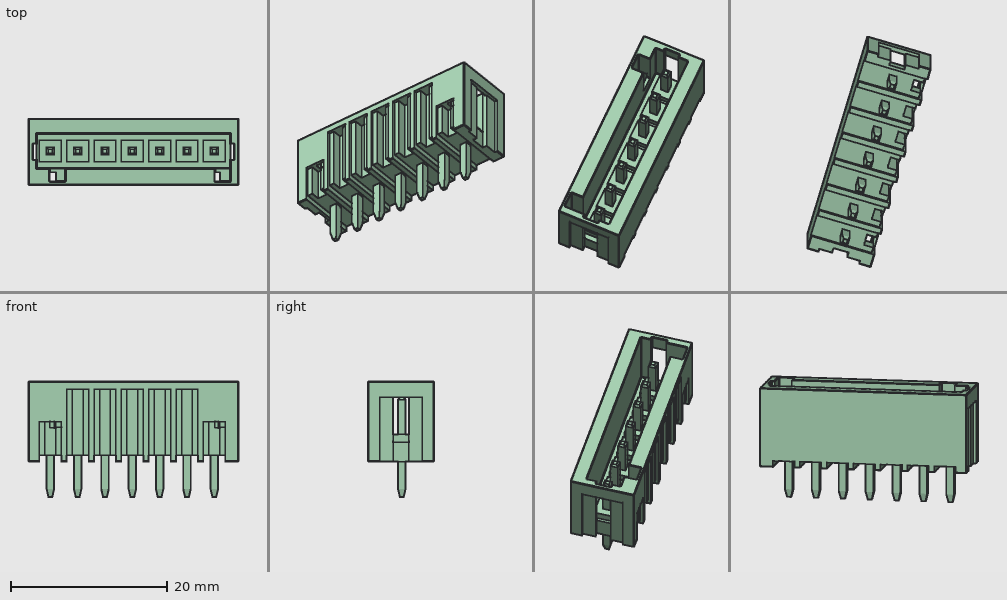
import cadquery as cq

LENGTH = 26.9
WIDTH = 8.5
HEIGHT = 10.25
OVERALL_HEIGHT = 14.8
EDGE = 0.1
FRONT = -WIDTH / 2
OVERCUT = 0.27

PIN_COUNT = 7
PITCH = 3.5
ROW_X = -0.15
ROW_Y = 0.1
PIN_SIDE = 1.0
PIN_TOP = 8.2
PIN_BOTTOM = HEIGHT - OVERALL_HEIGHT
TIP_SIDE = 0.5
TOP_TIP_HEIGHT = 0.27
BOTTOM_TIP_HEIGHT = 1.05

CAVITY_LENGTH = 24.85
CAVITY_WIDTH = 4.5
CAVITY_FLOOR = 2.5
PAD_SIDE = 2.8
PAD_TOP = 3.47

KEY_WIDTH = 2.02
KEY_FLOOR = 4.3
KEY_FRONT_WALL = 0.45
KEY_RIGHT_EDGES = (-8.72, CAVITY_LENGTH / 2)

SLOT_TOP = 9.23
END_SLOT_TOP = 5.1
SLOT_DEPTH = 0.38
CORE_WIDTH = 1.4
CORE_DEPTH = 1.61
CHANNEL_HEIGHT = 0.8

RECESS_WIDTH = 5.43
RECESS_DEPTH = 0.4
RECESS_TOP = 8.23
WINDOW_WIDTH = 2.02
NOTCH_WALL = 0.6

PIN_XS = [ROW_X + PITCH * (i - (PIN_COUNT - 1) / 2) for i in range(PIN_COUNT)]


def block(x_range, y_range, z_range):
    """Box between the given lower and upper limits on each axis."""
    (x0, x1), (y0, y1), (z0, z1) = x_range, y_range, z_range
    return cq.Workplane("XY").box(x1 - x0, y1 - y0, z1 - z0, centered=False).translate((x0, y0, z0))


def around(centre, size):
    """Lower and upper limits of a size centred on a place."""
    return (centre - size / 2, centre + size / 2)


def make_cavity():
    """Cavity volume with its keying slots and the notches in its end walls."""
    open_top = HEIGHT + OVERCUT
    cavity_y = around(ROW_Y, CAVITY_WIDTH)
    cavity = block(around(0, CAVITY_LENGTH), cavity_y, (CAVITY_FLOOR, open_top))
    cavity = cavity.edges("|Z").chamfer(EDGE).faces("<Z").edges().chamfer(EDGE)

    for right in KEY_RIGHT_EDGES:
        key = block((right - KEY_WIDTH, right), (FRONT + KEY_FRONT_WALL, ROW_Y), (KEY_FLOOR, open_top))
        key = key.edges("|Z and <Y").chamfer(EDGE).faces("<Z").edges().chamfer(EDGE)
        cavity = cavity.union(key)

    notches = block(around(0, LENGTH - 2 * NOTCH_WALL), around(0, WINDOW_WIDTH), (CAVITY_FLOOR, open_top))
    return cavity.union(notches.edges("|Z").chamfer(EDGE))


def make_housing():
    """Chamfered box with the cavity, its rim chamfered too."""
    housing = block(around(0, LENGTH), around(0, WIDTH), (0, HEIGHT)).edges().chamfer(EDGE)
    return housing.cut(make_cavity()).faces(">Z").wires().last().chamfer(EDGE)


def cut_end_windows(housing):
    """Cut the recess and the window in both end faces."""
    wall = (LENGTH - CAVITY_LENGTH) / 2
    for side in (-1, 1):
        for depth, width in ((RECESS_DEPTH, RECESS_WIDTH), (wall, WINDOW_WIDTH)):
            centre = side * (LENGTH - depth + OVERCUT) / 2
            cutter = block(around(centre, depth + OVERCUT), around(0, width), (-OVERCUT, RECESS_TOP))
            housing = housing.cut(cutter)
    return housing


def cut_pin_slots(housing):
    """Cut the stepped front slot and the underside channel at each pin."""
    for x in PIN_XS:
        top = END_SLOT_TOP if x in (PIN_XS[0], PIN_XS[-1]) else SLOT_TOP
        for width, depth in ((PAD_SIDE, SLOT_DEPTH), (CORE_WIDTH, CORE_DEPTH)):
            slot = block(around(x, width), (FRONT - OVERCUT, FRONT + depth), (-OVERCUT, top))
            housing = housing.cut(slot)
        channel = block(around(x, PAD_SIDE), around(0, WIDTH + 2 * OVERCUT), (-OVERCUT, CHANNEL_HEIGHT))
        housing = housing.cut(channel)
    return housing


def pin_tip(z, direction, tip_height):
    """Tapered pin end starting at height z and pointing up (1) or down (-1)."""
    base = cq.Workplane("XY", origin=(0, 0, z)).rect(PIN_SIDE, PIN_SIDE)
    return base.workplane(offset=direction * tip_height).rect(TIP_SIDE, TIP_SIDE).loft()


def make_pin():
    """Square pin tapered at both ends, standing on the Z axis with its pad."""
    shaft_z = (PIN_BOTTOM + BOTTOM_TIP_HEIGHT, PIN_TOP - TOP_TIP_HEIGHT)
    shaft = block(around(0, PIN_SIDE), around(0, PIN_SIDE), shaft_z)
    pad = block(around(0, PAD_SIDE), around(0, PAD_SIDE), (CHANNEL_HEIGHT, PAD_TOP))
    top_tip = pin_tip(shaft_z[1], 1, TOP_TIP_HEIGHT)
    bottom_tip = pin_tip(shaft_z[0], -1, BOTTOM_TIP_HEIGHT)
    return shaft.union(pad).union(top_tip).union(bottom_tip)


result = cut_pin_slots(cut_end_windows(make_housing()))
pin = make_pin()
for pin_x in PIN_XS:
    result = result.union(pin.translate((pin_x, ROW_Y, 0)))